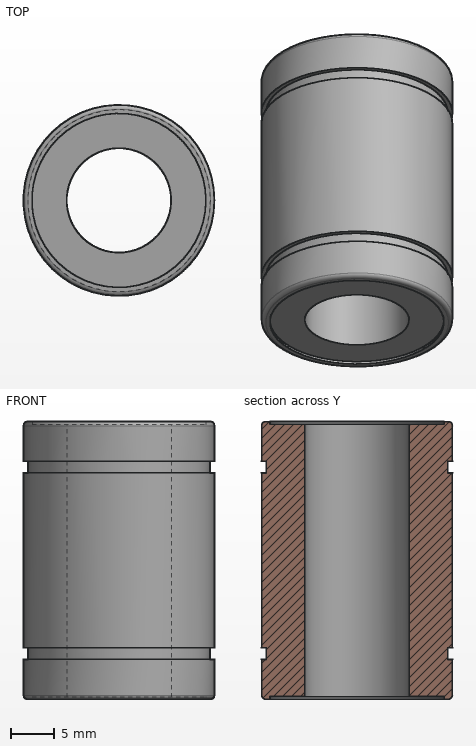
import cadquery as cq

length = 32.0
outer_diameter = 22.0
bore_diameter = 12.0

groove_diameter = 21.0
groove_width = 1.3
groove_offset = 4.6

edge_radius = 0.48
recess_diameter = 20.03
recess_depth = 0.32


def ring(outside, inside, height, bottom):
    """Ring around the Z axis, starting at height bottom."""
    return (
        cq.Workplane("XY")
        .workplane(offset=bottom)
        .circle(outside / 2)
        .circle(inside / 2)
        .extrude(height)
    )


def end_recess(bottom):
    """Shallow round recess inside the end rim."""
    return cq.Workplane("XY").workplane(offset=bottom).circle(recess_diameter / 2).extrude(recess_depth)


body = cq.Workplane("XY").circle(outer_diameter / 2).extrude(length / 2, both=True)
body = body.faces("|Z").edges().fillet(edge_radius)

body = body.cut(cq.Workplane("XY").circle(bore_diameter / 2).extrude(length / 2, both=True))

upper_groove_bottom = length / 2 - groove_offset - groove_width
lower_groove_bottom = -length / 2 + groove_offset
for groove_bottom in (lower_groove_bottom, upper_groove_bottom):
    body = body.cut(ring(outer_diameter, groove_diameter, groove_width, groove_bottom))

for recess_bottom in (-length / 2, length / 2 - recess_depth):
    body = body.cut(end_recess(recess_bottom))

result = body